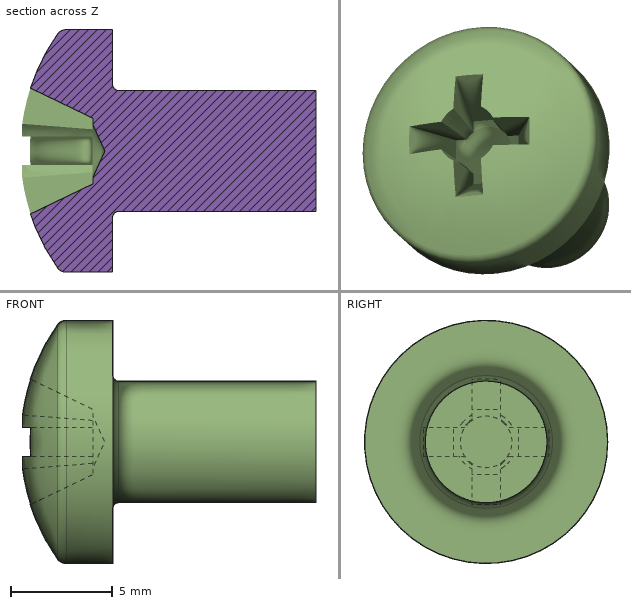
import cadquery as cq
import math

total_length = 14.48
head_diameter = 12.0
head_radius = head_diameter / 2
shank_radius = head_radius / 2
head_back = 4.46
dome_radius = 10.0
dome_apex = -0.12
rim_start = 2.17
dome_edge_radius = 5.78
neck_fillet = 0.28

wing_width = 1.42
wing_reach = 3.1
wing_floor_reach = 1.61
wing_mouth = 0.38
recess_floor = 3.48
core_mouth_radius = 1.5
core_floor_radius = 1.27
tip_depth = 0.58
mouth_x = -0.43


def dome_x(radius):
    """Axial position of the dome surface at a distance from the axis."""
    return dome_apex + dome_radius - math.sqrt(dome_radius**2 - radius**2)


def make_body():
    """Revolve the head and shank as one profile."""
    dome_mid_radius = dome_edge_radius / 2
    edge_x = dome_x(dome_edge_radius)
    neck_end = head_back + neck_fillet
    neck_mid = neck_fillet * (1 - math.sqrt(0.5))
    profile = (
        cq.Workplane("XY")
        .moveTo(dome_apex, 0)
        .threePointArc((dome_x(dome_mid_radius), dome_mid_radius), (edge_x, dome_edge_radius))
        .tangentArcPoint((rim_start, head_radius), relative=False)
        .lineTo(head_back, head_radius)
        .lineTo(head_back, shank_radius + neck_fillet)
        .threePointArc(
            (head_back + neck_mid, shank_radius + neck_mid),
            (neck_end, shank_radius),
        )
        .lineTo(total_length, shank_radius)
        .lineTo(total_length, 0)
        .close()
    )
    return profile.revolve(360, (0, 0, 0), (1, 0, 0))


def make_wing_pair():
    """Slot across the axis whose two end walls slope inward with depth."""
    wall_slope = (wing_reach - wing_floor_reach) / (recess_floor - wing_mouth)
    mouth_reach = wing_reach + wall_slope * (wing_mouth - mouth_x)
    return (
        cq.Workplane("XY")
        .polyline([
            (mouth_x, -mouth_reach),
            (mouth_x, mouth_reach),
            (recess_floor, wing_floor_reach),
            (recess_floor, -wing_floor_reach),
        ])
        .close()
        .extrude(wing_width / 2, both=True)
    )


def make_core():
    """Tapered central bore with a pointed bottom."""
    core_slope = (core_mouth_radius - core_floor_radius) / recess_floor
    mouth_radius = core_mouth_radius - core_slope * mouth_x
    return (
        cq.Workplane("XY")
        .polyline([
            (mouth_x, 0),
            (mouth_x, mouth_radius),
            (recess_floor, core_floor_radius),
            (recess_floor + tip_depth, 0),
        ])
        .close()
        .revolve(360, (0, 0, 0), (1, 0, 0))
    )


wings = make_wing_pair()
recess = make_core().union(wings).union(wings.rotate((0, 0, 0), (1, 0, 0), 90))
result = make_body().cut(recess)